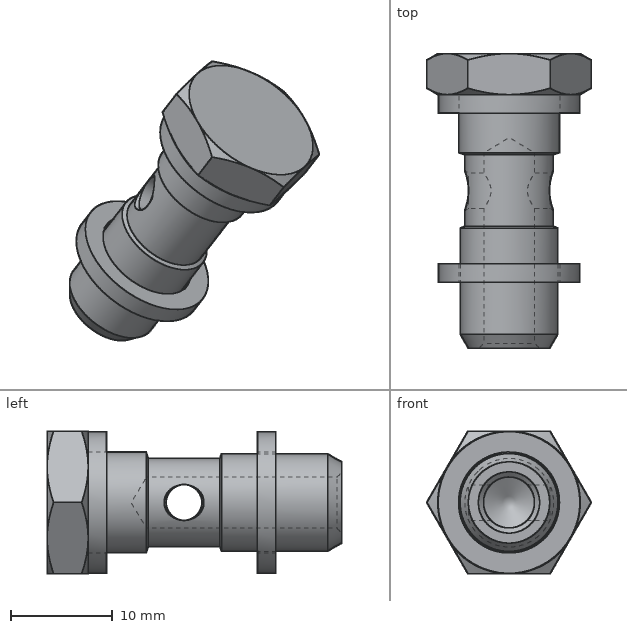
import cadquery as cq
import math


total_length = 28.9
head_height = 4.02
head_seat_y = total_length - head_height
shoulder_end_y = 19.2
neck_start_y = 11.96
shoulder_cone_length = 0.2
thread_cone_length = 0.17

head_across_flats = 14.0
shoulder_diameter = 9.9
neck_diameter = 8.7
thread_diameter = 9.6
tip_diameter = 7.98
bevel_slope = math.tan(math.radians(30))
tip_bevel_length = (thread_diameter - tip_diameter) / 2 / bevel_slope

bore_diameter = 5.0
bore_mouth_diameter = 6.0
bore_mouth_depth = (bore_mouth_diameter - bore_diameter) / 2
bore_depth = shoulder_end_y
drill_point_angle = 118.0

cross_hole_diameter = 3.5
cross_hole_mouth_diameter = 3.9
cross_hole_y = (shoulder_end_y - shoulder_cone_length + neck_start_y) / 2

washer_outer_diameter = 13.9
washer_bore_diameter = shoulder_diameter
washer_thickness = 1.82
lower_washer_y = 6.47
upper_washer_y = head_seat_y - washer_thickness


def turned(profile):
    """Solid of revolution about Y from (radius, y) points."""
    return cq.Workplane("XY").polyline(profile).close().revolve(360, (0, 0, 0), (0, 1, 0))


def make_head():
    """Hexagon with corners on X, its corners bevelled at both end faces."""
    corner_radius = head_across_flats / math.sqrt(3)
    face_radius = head_across_flats / 2
    bevel_length = (corner_radius - face_radius) * bevel_slope
    hexagon = (
        cq.Workplane("XZ", origin=(0, total_length, 0))
        .polygon(6, 2 * corner_radius)
        .extrude(head_height)
    )
    envelope = turned([
        (0, head_seat_y),
        (face_radius, head_seat_y),
        (corner_radius, head_seat_y + bevel_length),
        (corner_radius, total_length - bevel_length),
        (face_radius, total_length),
        (0, total_length),
    ])
    return hexagon.intersect(envelope)


def make_shank():
    """Shoulder, neck and plain thread cylinder with a bevelled tip."""
    return turned([
        (0, 0),
        (tip_diameter / 2, 0),
        (thread_diameter / 2, tip_bevel_length),
        (thread_diameter / 2, neck_start_y - thread_cone_length),
        (neck_diameter / 2, neck_start_y),
        (neck_diameter / 2, shoulder_end_y - shoulder_cone_length),
        (shoulder_diameter / 2, shoulder_end_y),
        (shoulder_diameter / 2, head_seat_y),
        (0, head_seat_y),
    ])


def make_bore():
    """Blind bore with a conical mouth and a drill-point end."""
    bore_radius = bore_diameter / 2
    point_length = bore_radius / math.tan(math.radians(drill_point_angle / 2))
    return turned([
        (0, 0),
        (bore_mouth_diameter / 2, 0),
        (bore_radius, bore_mouth_depth),
        (bore_radius, bore_depth),
        (0, bore_depth + point_length),
    ])


def make_cross_hole():
    """Through hole along X, flaring slightly where it breaks out of the neck."""
    neck_radius = neck_diameter / 2
    hole_radius = cross_hole_diameter / 2
    mouth_radius = cross_hole_mouth_diameter / 2
    flare_start_x = math.sqrt(neck_radius**2 - hole_radius**2)
    half_profile = [
        (-neck_radius, 0),
        (-neck_radius, mouth_radius),
        (-flare_start_x, hole_radius),
        (flare_start_x, hole_radius),
        (neck_radius, mouth_radius),
        (neck_radius, 0),
    ]
    return (
        cq.Workplane("XY", origin=(0, cross_hole_y, 0))
        .polyline(half_profile)
        .close()
        .revolve(360, (0, 0, 0), (1, 0, 0))
    )


def make_bolt():
    """Hollow bolt: head and shank with the two crossing holes."""
    return make_head().union(make_shank()).cut(make_bore()).cut(make_cross_hole())


def make_washer(start_y):
    """Flat ring from start_y towards the head."""
    return (
        cq.Workplane("XZ", origin=(0, start_y, 0))
        .circle(washer_outer_diameter / 2)
        .circle(washer_bore_diameter / 2)
        .extrude(-washer_thickness)
    )


bolt = make_bolt()
washers = [make_washer(start_y).val() for start_y in (lower_washer_y, upper_washer_y)]

result = cq.Compound.makeCompound([bolt.val(), *washers])